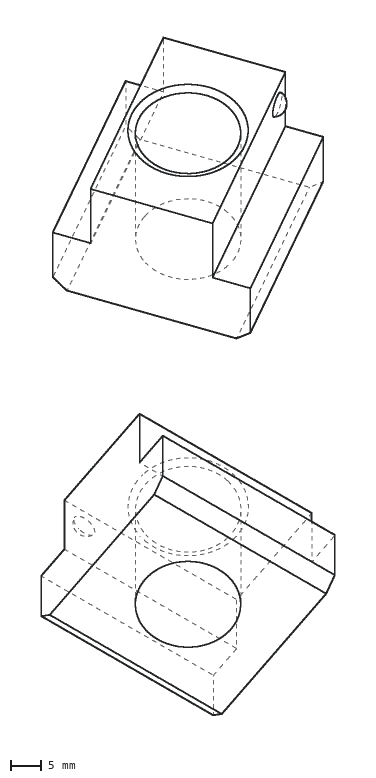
import cadquery as cq

width = 35.0
length = 35.0
height = 28.0

base_height = height / 2
neck_width = 21.6
bottom_chamfer = 2.5

hole_diameter = 17.5
countersink_diameter = 20.0
countersink_angle = 120.0

ball_radius = 2.25
ball_protrusion = 1.58
ball_edge_distance = 4.0


def t_block():
    """T-slot nut body with its two lower long edges chamfered."""
    base = (
        cq.Workplane("XY")
        .box(width, length, base_height, centered=(True, True, False))
        .edges("|Y and <Z")
        .chamfer(bottom_chamfer)
    )
    neck = cq.Workplane("XY").box(neck_width, length, height, centered=(True, True, False))
    return base.union(neck)


def drill_bore(body):
    """Countersunk hole through the full height."""
    return (
        body.faces(">Z")
        .workplane(origin=(0, 0, height))
        .cskHole(hole_diameter, countersink_diameter, countersink_angle)
    )


def spring_ball():
    """Ball partly sunk into the neck, revolved about an axis along X."""
    center_x = neck_width / 2 + ball_protrusion - ball_radius
    center_y = length / 2 - ball_edge_distance
    center_z = height - ball_edge_distance
    return (
        cq.Workplane("XY", origin=(center_x, center_y, center_z))
        .moveTo(-ball_radius, 0)
        .threePointArc((0, ball_radius), (ball_radius, 0))
        .close()
        .revolve(360, (0, 0), (1, 0))
    )


result = drill_bore(t_block()).union(spring_ball())